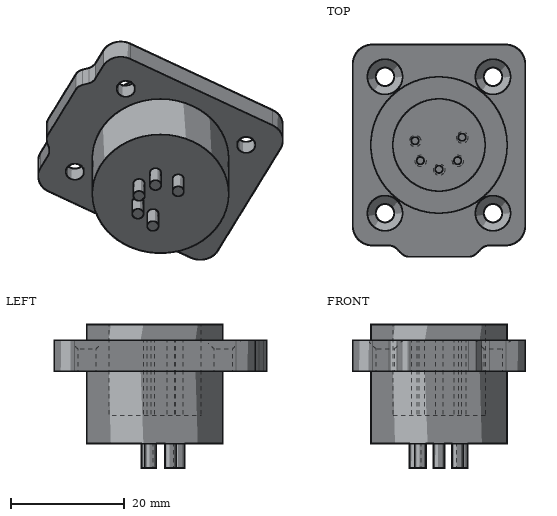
import cadquery as cq
import math

flange_thickness = 5.5
rim_height = 2.8
rear_length = 12.7
tail_length = 4.3
rim_top = flange_thickness + rim_height
barrel_bottom = -rear_length
tail_bottom = barrel_bottom - tail_length

flange_width = 30.4
flange_height = 35.4
corner_radius = 3.5
tab_drop = 2.0
tab_tip_half_width = 6.0
tab_root_half_width = tab_tip_half_width + tab_drop
tab_blend_radius = 2.0
selection_margin = 0.1

hole_spacing_x = 19.0
hole_spacing_y = 24.0
hole_diameter = 3.2
countersink_diameter = 6.2
countersink_angle = 90.0

barrel_diameter = 24.0
socket_diameter = 16.25
socket_depth = 16.0
socket_floor = rim_top - socket_depth

pin_circle_radius = 4.28
pin_angles = (18.5, 170.0, 220.0, 270.0, 320.0)
pin_diameter = 1.3
pin_top = flange_thickness
tail_diameter = 2.0


def cylinder(diameter, bottom, top):
    """Cylinder on the Z axis between two heights."""
    return cq.Workplane("XY").workplane(offset=bottom).circle(diameter / 2).extrude(top - bottom)


def make_flange():
    """Rounded plate with a sloped, blended tab along its -Y edge."""
    plate = (
        cq.Workplane("XY")
        .rect(flange_width, flange_height)
        .extrude(flange_thickness)
        .edges("|Z")
        .fillet(corner_radius)
    )
    root_y = -flange_height / 2
    tip_y = root_y - tab_drop
    tab = (
        cq.Workplane("XY")
        .moveTo(-tab_root_half_width, root_y)
        .lineTo(-tab_tip_half_width, tip_y)
        .lineTo(tab_tip_half_width, tip_y)
        .lineTo(tab_root_half_width, root_y)
        .lineTo(tab_root_half_width, 0)
        .lineTo(-tab_root_half_width, 0)
        .close()
        .extrude(flange_thickness)
    )
    tab_corners = cq.selectors.BoxSelector(
        (-tab_root_half_width - selection_margin, tip_y - selection_margin, 0),
        (tab_root_half_width + selection_margin, root_y + selection_margin, flange_thickness),
    )
    return plate.union(tab).edges("|Z").edges(tab_corners).fillet(tab_blend_radius)


def drill_mounting_holes(body):
    """Four countersunk holes opening on the front of the flange."""
    return (
        body.faces(">Z")
        .workplane(origin=(0, 0, flange_thickness))
        .rect(hole_spacing_x, hole_spacing_y, forConstruction=True)
        .vertices()
        .cskHole(hole_diameter, countersink_diameter, countersink_angle)
    )


def add_contact(body, angle):
    """Slim pin standing on the socket floor and a thicker tail behind the barrel."""
    x = pin_circle_radius * math.cos(math.radians(angle))
    y = pin_circle_radius * math.sin(math.radians(angle))
    pin = cylinder(pin_diameter, socket_floor, pin_top).translate((x, y, 0))
    tail = cylinder(tail_diameter, tail_bottom, barrel_bottom).translate((x, y, 0))
    return body.union(pin).union(tail)


result = drill_mounting_holes(make_flange())
result = result.union(cylinder(barrel_diameter, barrel_bottom, rim_top))
result = result.cut(cylinder(socket_diameter, socket_floor, rim_top))
for pin_angle in pin_angles:
    result = add_contact(result, pin_angle)